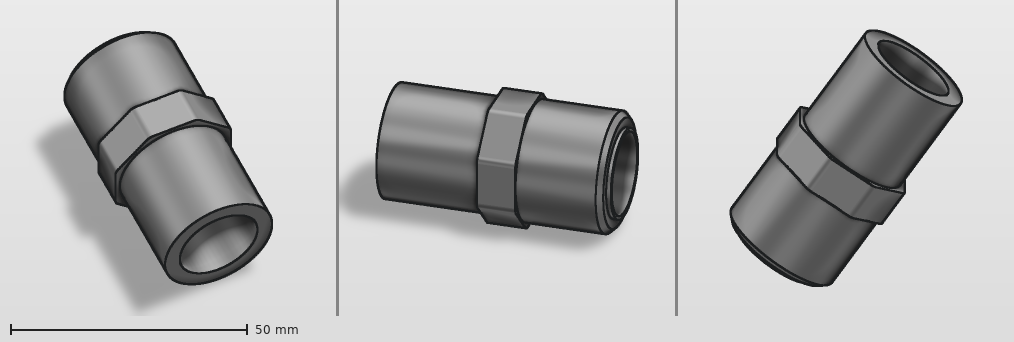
import cadquery as cq
import math

length = 51.0
lip_length = 1.0
collar_start = 20.0
collar_end = 28.45

bore_diameter = 18.1
lip_diameter = 19.65
body_diameter = 26.4
spigot_diameter = 25.0

across_flats = 27.0
collar_sides = 8
corner_radius = 2.15
bevel = 1.3


def cylinder(diameter, start, end):
    """Solid cylinder on the X axis between two stations."""
    return cq.Workplane("YZ", origin=(start, 0, 0)).circle(diameter / 2).extrude(end - start)


def wrench_collar():
    """Octagonal prism with flats facing Y and Z and rounded corners."""
    half_side_angle = math.pi / collar_sides
    across_corners = across_flats / math.cos(half_side_angle)
    prism = (
        cq.Workplane("YZ", origin=(collar_start, 0, 0))
        .transformed(rotate=(0, 0, math.degrees(half_side_angle)))
        .polygon(collar_sides, across_corners)
        .extrude(collar_end - collar_start)
    )
    return prism.edges("|X").fillet(corner_radius)


lip = cylinder(lip_diameter, 0, lip_length)
body = cylinder(body_diameter, lip_length, collar_start).faces("<X").edges().chamfer(bevel)
spigot = cylinder(spigot_diameter, collar_end, length)
bore = cylinder(bore_diameter, 0, length)

result = lip.union(body).union(wrench_collar()).union(spigot).cut(bore)